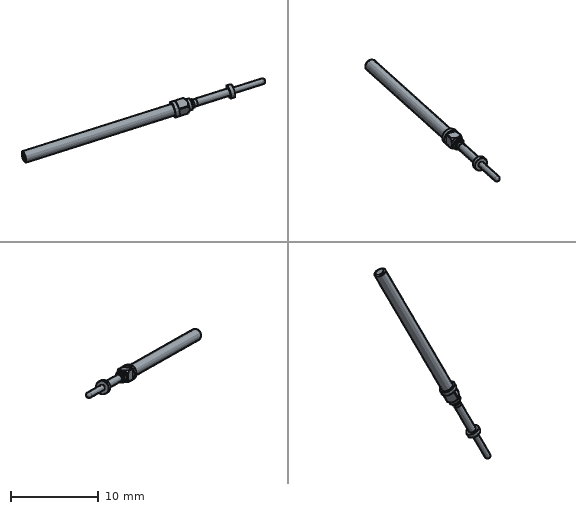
import cadquery as cq
import math


shank_diameter = 1.4
seat_flange_diameter = 1.9
collar_diameter = 1.06
neck_root_diameter = 0.92
neck_root_small_diameter = 0.84
neck_diameter = 0.9
stop_flange_diameter = 1.6
pin_diameter = 0.7
pin_tip_flat_diameter = 0.06

shank_end_y = -18.5
seat_flange_width = 0.5
square_start_y = 1.8
shoulder_y = 2.17
collar_end_y = 2.5
neck_start_y = 2.9
stop_flange_rear_y = 6.9
stop_flange_width = 0.5
stop_flange_front_y = stop_flange_rear_y + stop_flange_width
pin_end_y = 11.4

bevel_slope = math.tan(math.radians(30))
shank_end_bevel_width = 0.2

pin_tip_length = 0.29
pin_tip_arc_radius = pin_diameter / 2

square_across_flats = shank_diameter
square_cone_length = (seat_flange_diameter - square_across_flats) / 2


def arc_midpoint(start, end, radius):
    """Middle of the arc from start to end that bulges to the left of that direction."""
    dx = end[0] - start[0]
    dy = end[1] - start[1]
    chord = math.hypot(dx, dy)
    sagitta = radius - math.sqrt(radius**2 - (chord / 2) ** 2)
    middle_x = (start[0] + end[0]) / 2 - sagitta * dy / chord
    middle_y = (start[1] + end[1]) / 2 + sagitta * dx / chord
    return middle_x, middle_y


def revolve_about_y(profile):
    """Turn a closed half profile about the Y axis."""
    return profile.revolve(360, (0, 0, 0), (0, 1, 0))


def make_barrel():
    """Shank, seat flange, round blank of the square section, shoulder and collar."""
    shank_radius = shank_diameter / 2
    flange_radius = seat_flange_diameter / 2
    collar_radius = collar_diameter / 2
    shank_end_bevel_length = shank_end_bevel_width * bevel_slope
    shoulder_bevel_length = (shank_radius - collar_radius) * bevel_slope
    profile = (
        cq.Workplane("ZY")
        .moveTo(0, shank_end_y)
        .lineTo(shank_radius - shank_end_bevel_width, shank_end_y)
        .lineTo(shank_radius, shank_end_y + shank_end_bevel_length)
        .lineTo(shank_radius, 0)
        .lineTo(flange_radius, 0)
        .lineTo(flange_radius, square_start_y - square_cone_length)
        .lineTo(shank_radius, square_start_y)
        .lineTo(shank_radius, shoulder_y)
        .lineTo(collar_radius, shoulder_y + shoulder_bevel_length)
        .lineTo(collar_radius, collar_end_y)
        .lineTo(0, collar_end_y)
        .close()
    )
    return revolve_about_y(profile)


def mill_square(barrel):
    """Cut four flats between the seat flange and the front of the cone."""
    clearance_size = 2 * seat_flange_diameter
    waste = (
        cq.Workplane("XZ", origin=(0, square_start_y, 0))
        .rect(clearance_size, clearance_size)
        .rect(square_across_flats, square_across_flats)
        .extrude(square_start_y - seat_flange_width)
    )
    return barrel.cut(waste)


def make_pin():
    """Tapered neck root, neck, stop flange and pin with a rounded tip."""
    neck_radius = neck_diameter / 2
    stop_radius = stop_flange_diameter / 2
    pin_radius = pin_diameter / 2
    tip_start = (-pin_radius, pin_end_y - pin_tip_length)
    tip_end = (-pin_tip_flat_diameter / 2, pin_end_y)
    profile = (
        cq.Workplane("XY")
        .moveTo(0, collar_end_y)
        .lineTo(-neck_root_diameter / 2, collar_end_y)
        .lineTo(-neck_root_small_diameter / 2, neck_start_y)
        .lineTo(-neck_radius, neck_start_y)
        .lineTo(-neck_radius, stop_flange_rear_y)
        .lineTo(-stop_radius, stop_flange_rear_y)
        .lineTo(-stop_radius, stop_flange_front_y)
        .lineTo(-pin_radius, stop_flange_front_y)
        .lineTo(*tip_start)
        .threePointArc(arc_midpoint(tip_start, tip_end, pin_tip_arc_radius), tip_end)
        .lineTo(0, pin_end_y)
        .close()
    )
    return revolve_about_y(profile)


barrel = mill_square(make_barrel())
result = barrel.union(make_pin())